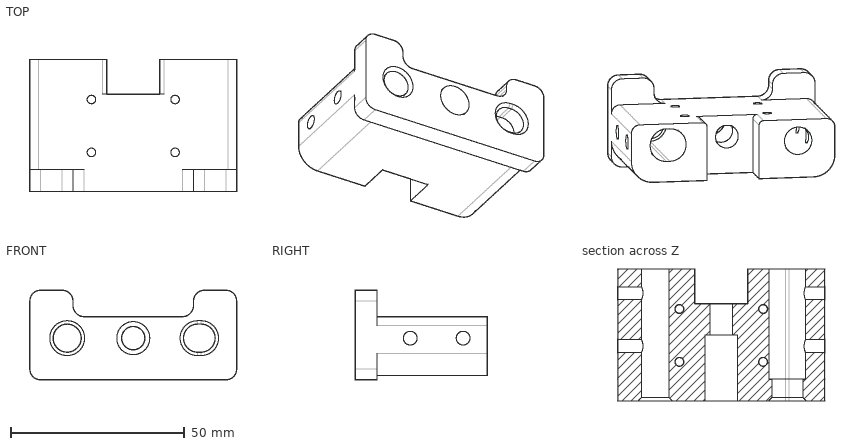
import cadquery as cq
import math

width = 59.69
depth = 38.1
height = 25.91

flange_thickness = 6.35
flange_radius = 3.175
ear_width = 12.5
ear_height = 7.62

body_bottom = 1.27
body_top = height - ear_height
body_top_radius = 2.54
body_bottom_radius = 6.35

notch_half_width = 7.62
notch_depth = 10.0
notch_edge_radius = 1.27

bore_z = 12.065
rod_offset = 19.05
rod_diameter = 8.03
rod_mouth_chamfer = 1.016
rod_mouth_angle = 45.0
rod_slot_travel = 1.016
rod_relief_diameter = 9.53
center_diameter = 6.65
center_counterbore_diameter = 9.53
center_counterbore_depth = 19.05

top_hole_diameter = 2.46
top_hole_depth = 6.35
top_hole_x = 12.065
top_hole_front_y = 11.32
top_hole_pitch = 15.24
drill_point_angle = 118.0

side_hole_diameter = 3.96
side_hole_front_y = 15.875
side_hole_pitch = 15.24


def front_plane(y):
    """Workplane facing -Y at the given Y, with local axes along +X and +Z."""
    return cq.Workplane("XZ", origin=(0, y, 0))


def make_flange():
    half = width / 2
    inner = half - ear_width
    outline = [
        (-half, 0),
        (half, 0),
        (half, height),
        (inner, height),
        (inner, body_top),
        (-inner, body_top),
        (-inner, height),
        (-half, height),
    ]
    flange = front_plane(0).polyline(outline).close().extrude(-flange_thickness)
    return flange.edges("|Y").fillet(flange_radius)


def make_body():
    body_height = body_top - body_bottom
    body = (
        front_plane(flange_thickness)
        .center(0, body_bottom + body_height / 2)
        .rect(width, body_height)
        .extrude(flange_thickness - depth)
    )
    body = body.edges("|Y and >Z").fillet(body_top_radius)
    body = body.edges("|Y and <Z").fillet(body_bottom_radius)
    notch = (
        cq.Workplane("XY")
        .box(2 * notch_half_width, notch_depth, height, centered=(True, False, False))
        .translate((0, depth - notch_depth, 0))
    )
    body = body.cut(notch)
    for side in (-1, 1):
        edge_middle = (side * notch_half_width, depth - notch_depth / 2, body_top)
        body = body.edges(cq.selectors.NearestToPointSelector(edge_middle)).fillet(notch_edge_radius)
    return body


def bore_profile(x, y, diameter, travel=0):
    """Circle at bore height on the plane at Y, stretched along X by the travel."""
    plane = front_plane(y).center(x, bore_z)
    if travel == 0:
        return plane.circle(diameter / 2)
    return plane.slot2D(diameter + travel, diameter)


def make_rod_bore(x, travel=0):
    """Through bore with a chamfered mouth in the front face."""
    bore = bore_profile(x, 0, rod_diameter, travel).extrude(-depth)
    mouth_diameter = rod_diameter + 2 * rod_mouth_chamfer * math.tan(math.radians(rod_mouth_angle))
    mouth = bore_profile(x, 0, mouth_diameter, travel).extrude(-rod_mouth_chamfer, taper=rod_mouth_angle)
    return bore.union(mouth)


def make_slotted_relief():
    """Wider stretch of the slotted bore, from behind the flange to the rear face."""
    profile = bore_profile(rod_offset, flange_thickness, rod_relief_diameter, rod_slot_travel)
    return profile.extrude(flange_thickness - depth)


def make_center_bore():
    bore = bore_profile(0, 0, center_diameter).extrude(-depth)
    counterbore = bore_profile(0, 0, center_counterbore_diameter).extrude(-center_counterbore_depth)
    return bore.union(counterbore)


def make_top_hole(x, y):
    radius = top_hole_diameter / 2
    point_length = radius / math.tan(math.radians(drill_point_angle / 2))
    profile = [
        (0, 0),
        (radius, 0),
        (radius, -top_hole_depth),
        (0, -top_hole_depth - point_length),
    ]
    drill = cq.Workplane("XZ").polyline(profile).close().revolve(axisStart=(0, 0), axisEnd=(0, 1))
    return drill.translate((x, y, body_top))


def make_side_hole(side, y):
    """Hole from one side face (side = -1 or +1) to the axis of the nearest rod bore."""
    length = width / 2 - rod_offset
    return (
        cq.Workplane("YZ", origin=(side * rod_offset, y, bore_z))
        .circle(side_hole_diameter / 2)
        .extrude(side * length)
    )


result = make_flange().union(make_body())
result = result.cut(make_rod_bore(-rod_offset))
result = result.cut(make_rod_bore(rod_offset, rod_slot_travel))
result = result.cut(make_slotted_relief())
result = result.cut(make_center_bore())
for side in (-1, 1):
    for row in (0, 1):
        result = result.cut(make_top_hole(side * top_hole_x, top_hole_front_y + row * top_hole_pitch))
        result = result.cut(make_side_hole(side, side_hole_front_y + row * side_hole_pitch))